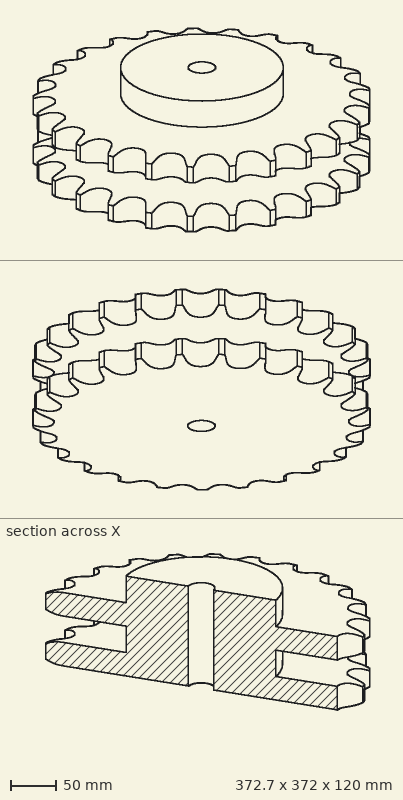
import cadquery as cq
import math


tooth_count = 25
pitch_diameter = 354.8
roller_diameter = 28.0
seat_radius = 14.0
tip_diameter = 373.0

plate_thickness = 28.7
plate_spacing = 59.5
plate_count = 2
side_flat_diameter = 332.5

hub_diameter = 180.0
hub_height = 120.0
bore_diameter = 30.0

cutter_clearance = 0.7

pitch_radius = pitch_diameter / 2
tip_radius = tip_diameter / 2
side_flat_radius = side_flat_diameter / 2
half_pitch_angle = math.pi / tooth_count
chain_pitch = pitch_diameter * math.sin(half_pitch_angle)
side_curve_radius = chain_pitch


def polar_point(center, radius, angle):
    """Point at a given angle (radians) on a circle."""
    return (center[0] + radius * math.cos(angle), center[1] + radius * math.sin(angle))


def mirrored(point):
    """Point mirrored about the centre line of the tooth gap."""
    return (-point[0], point[1])


def make_plate():
    """Solid disc whose rim narrows along an arc tangent to each flat side."""
    full_angle = math.asin((tip_radius - side_flat_radius) / side_curve_radius)

    def curve_inset(angle):
        return side_curve_radius * (1 - math.cos(angle))

    def curve_reach(angle):
        return side_flat_radius + side_curve_radius * math.sin(angle)

    middle_angle = full_angle / 2
    middle_radius = curve_reach(middle_angle)
    middle_inset = curve_inset(middle_angle)
    tip_inset = curve_inset(full_angle)
    return (
        cq.Workplane("XZ")
        .lineTo(side_flat_radius, 0)
        .threePointArc((middle_radius, middle_inset), (tip_radius, tip_inset))
        .lineTo(tip_radius, plate_thickness - tip_inset)
        .threePointArc((middle_radius, plate_thickness - middle_inset), (side_flat_radius, plate_thickness))
        .lineTo(0, plate_thickness)
        .close()
        .revolve(360, (0, 0, 0), (0, 1, 0))
    )


def make_gap_cutter():
    """Tooth gap on +Y in the ASA form: roller seat, hollow flank, short straight, rounded tip."""
    seat_angle = math.radians(35 + 60 / tooth_count)
    flank_sweep = math.radians(18 - 56 / tooth_count)
    tip_angle = math.radians(17 - 64 / tooth_count)
    flank_center_offset = 0.8 * roller_diameter
    tip_center_offset = 1.4 * roller_diameter
    flank_radius = seat_radius + flank_center_offset
    roller_center = (0, pitch_radius)

    seat_end = polar_point(roller_center, seat_radius, -seat_angle)
    flank_center = polar_point(roller_center, flank_center_offset, math.pi - seat_angle)
    flank_middle = polar_point(flank_center, flank_radius, flank_sweep / 2 - seat_angle)
    flank_end_angle = flank_sweep - seat_angle
    flank_end = polar_point(flank_center, flank_radius, flank_end_angle)

    flank_part = flank_center_offset * math.cos(flank_sweep)
    tip_part = tip_center_offset * math.cos(tip_angle)
    tip_curve_radius = flank_part + tip_part - flank_radius
    tip_center = polar_point(roller_center, tip_center_offset, -half_pitch_angle)
    tip_start = polar_point(tip_center, tip_curve_radius, math.pi + flank_end_angle)
    outer_y = tip_radius + cutter_clearance
    tip_end_angle = math.pi - math.asin((outer_y - tip_center[1]) / tip_curve_radius)
    tip_middle_angle = (math.pi + flank_end_angle + tip_end_angle) / 2
    tip_middle = polar_point(tip_center, tip_curve_radius, tip_middle_angle)
    tip_end = polar_point(tip_center, tip_curve_radius, tip_end_angle)

    return (
        cq.Workplane("XY")
        .moveTo(*mirrored(seat_end))
        .threePointArc((0, pitch_radius - seat_radius), seat_end)
        .threePointArc(flank_middle, flank_end)
        .lineTo(*tip_start)
        .threePointArc(tip_middle, tip_end)
        .lineTo(*mirrored(tip_end))
        .threePointArc(mirrored(tip_middle), mirrored(tip_start))
        .lineTo(*mirrored(flank_end))
        .threePointArc(mirrored(flank_middle), mirrored(seat_end))
        .close()
        .extrude(plate_thickness)
    )


gap_cutter = make_gap_cutter().val()
gap_cutters = [
    gap_cutter.rotate(cq.Vector(0, 0, 0), cq.Vector(0, 0, 1), gap_index * 360 / tooth_count)
    for gap_index in range(tooth_count)
]
plate = cq.Workplane(make_plate().val().cut(*gap_cutters))

body = cq.Workplane("XY").circle(hub_diameter / 2).extrude(hub_height)
for plate_index in range(plate_count):
    body = body.union(plate.translate((0, 0, plate_index * plate_spacing)))

bore = cq.Workplane("XY").circle(bore_diameter / 2).extrude(hub_height)
result = body.cut(bore)